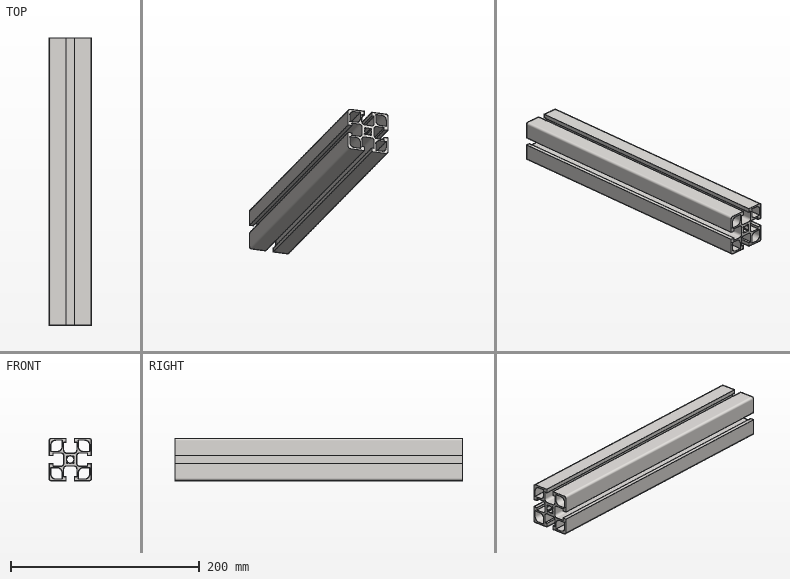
import cadquery as cq

SIDE = 45.0
LENGTH = 305.0
OUTER_RADIUS = 2.5

SLOT_OPENING = 8.5
LIP_DEPTH = 4.3
SLOT_WIDTH = 13.8
SLOT_BOTTOM_RADIUS = 3.0

CORE_SIDE = 13.8
BORE_DIAMETER = 7.7
BORE_RELIEF_WIDTH = 1.2
BORE_RELIEF_SPAN = 10.2

OUTER_WALL = 2.0
SLOT_WALL = 1.8
CHAMBER_OUTER_RADIUS = 5.0
CHAMBER_INNER_RADIUS = 5.0

HALF_SIDE = SIDE / 2
QUARTER_TURNS = (0, 90, 180, 270)
DIAGONALS = (45, 135)


def prism(outline):
    """Extrude an XZ outline along the full length, centred on Y."""
    return outline.extrude(LENGTH / 2, both=True)


def rectangle(x_min, x_max, z_min, z_max):
    """Full-length block between the given X and Z limits."""
    centre = ((x_min + x_max) / 2, (z_min + z_max) / 2)
    return prism(cq.Workplane("XZ").center(*centre).rect(x_max - x_min, z_max - z_min))


def turned(body, angle):
    """Rotate a body about the long axis."""
    return body.rotate((0, 0, 0), (0, 1, 0), angle)


def outer_bar():
    return rectangle(-HALF_SIDE, HALF_SIDE, -HALF_SIDE, HALF_SIDE).edges("|Y").fillet(OUTER_RADIUS)


def t_slot():
    """Slot that opens to +Z: a wide undercut behind two lips."""
    half_width = SLOT_WIDTH / 2
    half_opening = SLOT_OPENING / 2
    lip_bottom = HALF_SIDE - LIP_DEPTH
    undercut = rectangle(-half_width, half_width, CORE_SIDE / 2, lip_bottom)
    undercut = undercut.edges("|Y and <Z").fillet(SLOT_BOTTOM_RADIUS)
    opening = rectangle(-half_opening, half_opening, lip_bottom, HALF_SIDE)
    return undercut.union(opening)


def corner_chamber():
    """Chamber in the +X +Z corner, rounded towards the outside and the core."""
    inner = SLOT_WIDTH / 2 + SLOT_WALL
    outer = HALF_SIDE - OUTER_WALL
    chamber = rectangle(inner, outer, inner, outer)
    chamber = chamber.edges("|Y and >X and >Z").fillet(CHAMBER_OUTER_RADIUS)
    return chamber.edges("|Y and <X and <Z").fillet(CHAMBER_INNER_RADIUS)


def core_bore():
    """Round bore with four narrow reliefs on the diagonals."""
    bore = prism(cq.Workplane("XZ").circle(BORE_DIAMETER / 2))
    half_span = BORE_RELIEF_SPAN / 2
    half_width = BORE_RELIEF_WIDTH / 2
    relief = rectangle(-half_span, half_span, -half_width, half_width)
    for angle in DIAGONALS:
        bore = bore.union(turned(relief, angle))
    return bore


result = outer_bar().cut(core_bore())
for turn in QUARTER_TURNS:
    result = result.cut(turned(t_slot(), turn))
    result = result.cut(turned(corner_chamber(), turn))